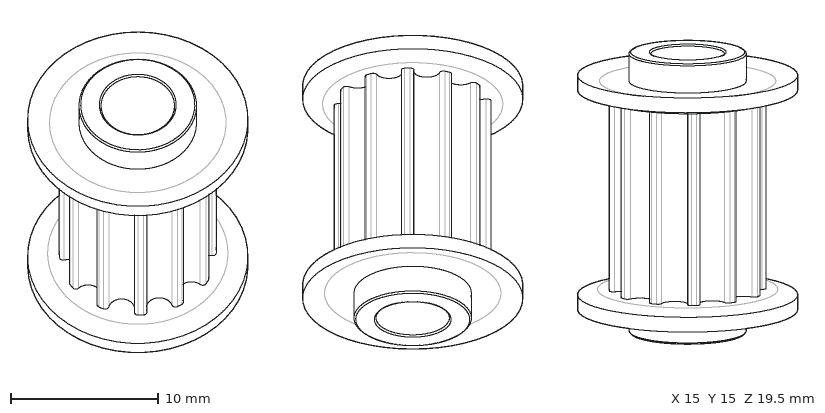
import cadquery as cq
import math

total_length = 19.5
toothed_length = 13.5

hub_radius = 4.0
bore_radius = 2.5
edge_chamfer = 0.12

flange_diameter = 15.0
flange_radius = flange_diameter / 2
flange_thickness = 1.0
dish_radius = 6.0
dish_angle = math.radians(15)

tooth_count = 12
first_tooth_angle = math.radians(15)
tip_radius = 5.35
root_radius = 4.08
groove_radius = 0.9
tip_corner_radius = 0.25


def polar(radius, angle):
    """Point at a radius and an angle in radians."""
    return (radius * math.cos(angle), radius * math.sin(angle))


def toward(start, end, distance):
    """Point at a distance from start on the line to end."""
    share = distance / math.dist(start, end)
    return tuple(a + share * (b - a) for a, b in zip(start, end))


def corner_middle(center, start, end):
    """Middle point of a tooth corner arc, which faces the middle of its chord."""
    chord_middle = toward(start, end, math.dist(start, end) / 2)
    return toward(center, chord_middle, tip_corner_radius)


def toothed_core():
    pitch_angle = 2 * math.pi / tooth_count
    corner_center_radius = tip_radius - tip_corner_radius
    groove_center_radius = root_radius + groove_radius

    corner_to_groove_angle = math.acos(
        (corner_center_radius**2 + groove_center_radius**2 - (groove_radius + tip_corner_radius) ** 2)
        / (2 * corner_center_radius * groove_center_radius)
    )
    half_land = pitch_angle / 2 - corner_to_groove_angle

    outline = cq.Workplane("XY").moveTo(*polar(tip_radius, first_tooth_angle - half_land))
    for index in range(tooth_count):
        tooth = first_tooth_angle + index * pitch_angle
        groove = tooth + pitch_angle / 2
        next_tooth = tooth + pitch_angle

        groove_center = polar(groove_center_radius, groove)
        leaving_corner = polar(corner_center_radius, tooth + half_land)
        entering_corner = polar(corner_center_radius, next_tooth - half_land)
        groove_start = toward(groove_center, leaving_corner, groove_radius)
        groove_end = toward(groove_center, entering_corner, groove_radius)

        land_end = polar(tip_radius, tooth + half_land)
        next_land_start = polar(tip_radius, next_tooth - half_land)
        leaving_middle = corner_middle(leaving_corner, land_end, groove_start)
        entering_middle = corner_middle(entering_corner, groove_end, next_land_start)

        outline = (
            outline.threePointArc(polar(tip_radius, tooth), land_end)
            .threePointArc(leaving_middle, groove_start)
            .threePointArc(polar(root_radius, groove), groove_end)
            .threePointArc(entering_middle, next_land_start)
        )
    return outline.close().extrude(toothed_length / 2, both=True)


def revolve_about_z(profile):
    """Solid of revolution from (radius, height) points."""
    return cq.Workplane("XZ").polyline(profile).close().revolve(360, (0, 0), (0, 1))


def flange():
    """Upper flange, of even thickness across the bend."""
    inner_face = toothed_length / 2
    outer_face = inner_face + flange_thickness
    inner_bend_radius = dish_radius + flange_thickness * math.tan(dish_angle / 2)
    inner_rim = inner_face + (flange_radius - inner_bend_radius) * math.tan(dish_angle)
    outer_rim = outer_face + (flange_radius - dish_radius) * math.tan(dish_angle)
    profile = [
        (0, inner_face),
        (inner_bend_radius, inner_face),
        (flange_radius, inner_rim),
        (flange_radius, outer_rim),
        (dish_radius, outer_face),
        (0, outer_face),
    ]
    return revolve_about_z(profile)


def hub():
    """Upper hub, standing on the flat of the flange."""
    hub_base = toothed_length / 2 + flange_thickness
    hub_height = total_length / 2 - hub_base
    return (
        cq.Workplane("XY")
        .workplane(offset=hub_base)
        .circle(hub_radius)
        .extrude(hub_height)
        .faces(">Z")
        .chamfer(edge_chamfer)
    )


def bore():
    """Through hole that widens at both mouths."""
    end = total_length / 2
    mouth_radius = bore_radius + edge_chamfer
    profile = [
        (0, -end),
        (mouth_radius, -end),
        (bore_radius, -end + edge_chamfer),
        (bore_radius, end - edge_chamfer),
        (mouth_radius, end),
        (0, end),
    ]
    return revolve_about_z(profile)


upper_end = flange().union(hub())
lower_end = upper_end.mirror("XY")
result = toothed_core().union(upper_end).union(lower_end).cut(bore())